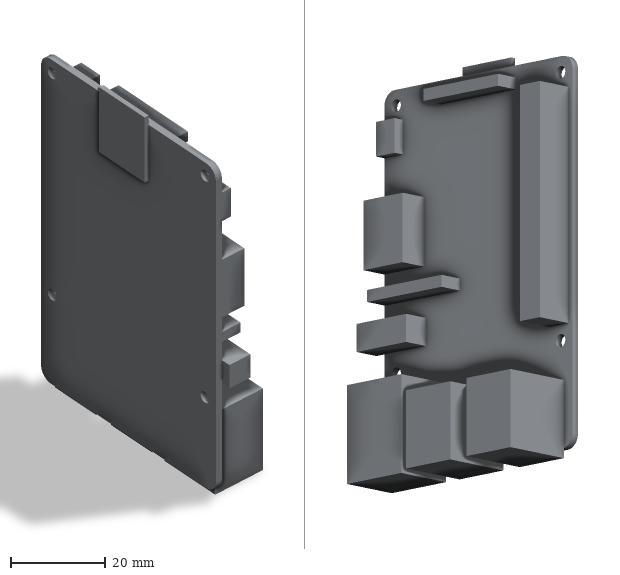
import cadquery as cq

BOARD_WIDTH = 56.0
BOARD_HEIGHT = 84.95
BOARD_THICKNESS = 1.7
CORNER_RADIUS = 3.0

HOLE_DIAMETER = 2.8
HOLE_INSET = 3.5
HOLE_SPACING_Z = 58.0

CARD_LEFT = 19.9
CARD_WIDTH = 14.6
CARD_HEIGHT = 17.0
CARD_THICKNESS = 1.2
CARD_OVERHANG = 2.4

SOCKET_OVERHANG = 2.15
USB_LEFT_EDGES = (2.5, 20.5)
USB_WIDTH = 13.2
USB_DEPTH = 16.0
USB_HEIGHT = 16.9
ETHERNET_LEFT = 37.7
ETHERNET_WIDTH = 16.2
ETHERNET_DEPTH = 13.4
ETHERNET_HEIGHT = 21.4

HEADER_LEFT = 1.1
HEADER_BOTTOM = 26.9
HEADER_WIDTH = 5.9
HEADER_DEPTH = 8.7
HEADER_HEIGHT = 51.1

RIBBON_WIDTH = 22.2
RIBBON_HEIGHT = 2.6
DISPLAY_LEFT = 16.9
DISPLAY_BOTTOM = 79.8
DISPLAY_DEPTH = 5.3
CAMERA_LEFT = 33.5
CAMERA_BOTTOM = 38.7
CAMERA_DEPTH = 5.55

HDMI_WIDTH = 11.7
HDMI_DEPTH = 6.4
HDMI_HEIGHT = 15.0
HDMI_BOTTOM = 45.5
POWER_WIDTH = 5.55
POWER_DEPTH = 2.5
POWER_HEIGHT = 7.5
POWER_BOTTOM = 70.6
AUDIO_WIDTH = 14.8
AUDIO_DEPTH = 5.9
AUDIO_HEIGHT = 6.1
AUDIO_BOTTOM = 28.2
AUDIO_OVERHANG = 2.4


def block(left, front, bottom, width, depth, height):
    """Box placed by its left, front and bottom faces."""
    return cq.Workplane("XY").box(width, depth, height, centered=False).translate((left, front, bottom))


def surface_component(left, bottom, width, depth, height):
    """Box resting on the back face of the board."""
    return block(left, BOARD_THICKNESS, bottom, width, depth, height)


def make_board():
    """Rounded plate with four mounting holes."""
    plate = block(0, 0, 0, BOARD_WIDTH, BOARD_THICKNESS, BOARD_HEIGHT)
    plate = plate.edges("|Y").fillet(CORNER_RADIUS)
    top_hole_z = BOARD_HEIGHT - HOLE_INSET
    centers = [
        (x, z)
        for x in (HOLE_INSET, BOARD_WIDTH - HOLE_INSET)
        for z in (top_hole_z - HOLE_SPACING_Z, top_hole_z)
    ]
    holes = cq.Workplane("XZ").pushPoints(centers).circle(HOLE_DIAMETER / 2).extrude(-BOARD_THICKNESS)
    return plate.cut(holes)


card_bottom = BOARD_HEIGHT + CARD_OVERHANG - CARD_HEIGHT
card = block(CARD_LEFT, -CARD_THICKNESS, card_bottom, CARD_WIDTH, CARD_THICKNESS, CARD_HEIGHT)

usb_sockets = [
    surface_component(left, -SOCKET_OVERHANG, USB_WIDTH, USB_DEPTH, USB_HEIGHT) for left in USB_LEFT_EDGES
]
ethernet = surface_component(
    ETHERNET_LEFT, -SOCKET_OVERHANG, ETHERNET_WIDTH, ETHERNET_DEPTH, ETHERNET_HEIGHT
)

header = surface_component(HEADER_LEFT, HEADER_BOTTOM, HEADER_WIDTH, HEADER_DEPTH, HEADER_HEIGHT)
display = surface_component(DISPLAY_LEFT, DISPLAY_BOTTOM, RIBBON_WIDTH, DISPLAY_DEPTH, RIBBON_HEIGHT)
camera = surface_component(CAMERA_LEFT, CAMERA_BOTTOM, RIBBON_WIDTH, CAMERA_DEPTH, RIBBON_HEIGHT)

hdmi = surface_component(BOARD_WIDTH - HDMI_WIDTH, HDMI_BOTTOM, HDMI_WIDTH, HDMI_DEPTH, HDMI_HEIGHT)
power = surface_component(BOARD_WIDTH - POWER_WIDTH, POWER_BOTTOM, POWER_WIDTH, POWER_DEPTH, POWER_HEIGHT)
audio_left = BOARD_WIDTH + AUDIO_OVERHANG - AUDIO_WIDTH
audio = surface_component(audio_left, AUDIO_BOTTOM, AUDIO_WIDTH, AUDIO_DEPTH, AUDIO_HEIGHT)

result = make_board()
for component in (card, *usb_sockets, ethernet, header, display, camera, hdmi, power, audio):
    result = result.union(component)